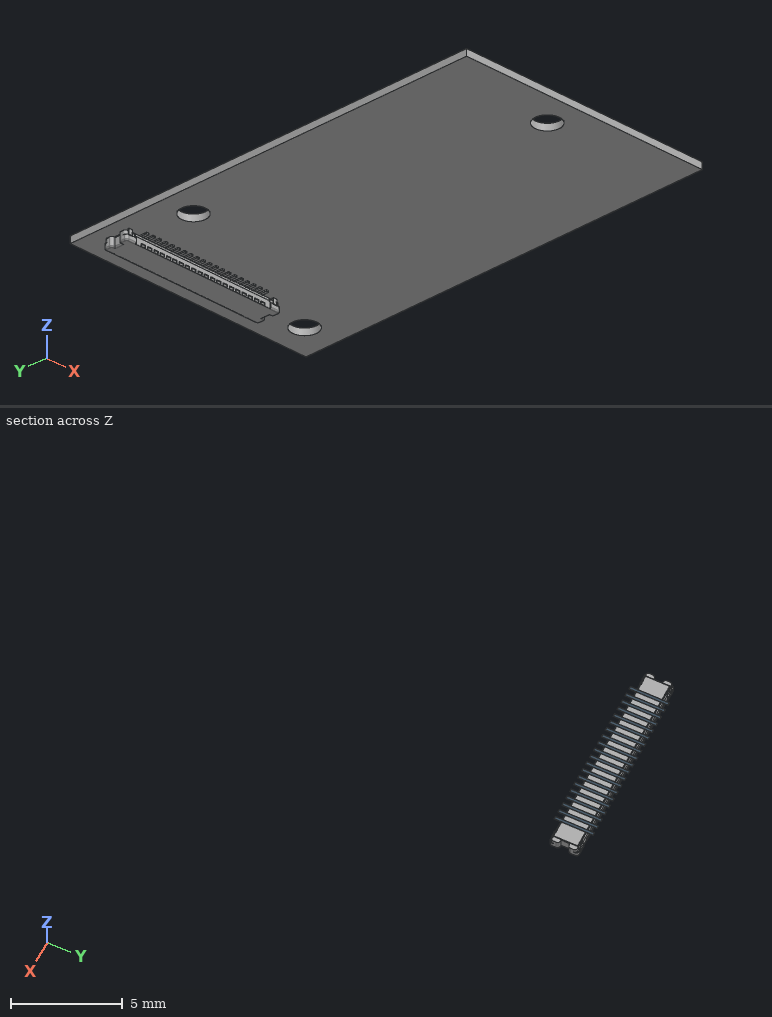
import cadquery as cq

BOARD_WIDTH = 15.0
BOARD_LENGTH = 25.0
TOTAL_HEIGHT = 1.05
BOARD_THICKNESS = 0.4
HOLE_DIAMETER = 1.5
HOLE_CENTERS = [(5.5, 10.6), (-5.6, 6.6), (-0.5, -10.65)]

CONNECTOR_X = -1.98
CONNECTOR_Y = 10.28
CONNECTOR_LENGTH = 9.8
CONNECTOR_HEIGHT = TOTAL_HEIGHT - BOARD_THICKNESS

HOLD_DOWN_LENGTH = 0.62
HOLD_DOWN_WIDTH = 1.45
HOLD_DOWN_HEIGHT = 0.3
HOLD_DOWN_BOTTOM_ROUND = 0.08
CORNER_ROUND = 0.15
END_NOTCH_WIDTH = 0.42
END_NOTCH_DEPTH = 0.2

END_TOP_WIDTH = 1.3
END_TOP_HEIGHT = 0.52
WALL_WIDTH = 1.35
WALL_HEIGHT = 0.4
WALL_LENGTH = CONNECTOR_LENGTH - 2 * HOLD_DOWN_LENGTH
CORE_WIDTH = 1.2
CORE_HEIGHT = 0.58
CORE_END_INSET = 0.22
CORE_LENGTH = CONNECTOR_LENGTH - 2 * CORE_END_INSET

CONTACTS_PER_ROW = 20
CONTACT_PITCH = 0.4
PAD_WIDTH = 0.25
PAD_HEIGHT = 0.15
PAD_SPAN = 1.42
PAD_ROUND = 0.1
TAIL_WIDTH = 0.15
TAIL_THICKNESS = 0.08
TAIL_SPAN = 1.95

FOOT_WIDTH = 0.22
FOOT_THICKNESS = 0.08
FOOT_SPAN = 1.35
FOOT_INSET = 0.2


def centered_block(length, width, bottom, top, x=0.0):
    """Block centred on the connector's long axis at the given X."""
    block = cq.Workplane("XY").box(length, width, top - bottom, centered=(True, True, False))
    return block.translate((x, 0, bottom))


def make_board():
    """Flat rectangular board with its mounting holes."""
    return (
        cq.Workplane("XY")
        .box(BOARD_WIDTH, BOARD_LENGTH, BOARD_THICKNESS, centered=(True, True, False))
        .faces(">Z")
        .workplane(origin=(0, 0, 0))
        .pushPoints(HOLE_CENTERS)
        .hole(HOLE_DIAMETER)
        .translate((0, 0, CONNECTOR_HEIGHT))
    )


def rounded_end_block(width, bottom, top):
    """Block at the -X end, notched in the middle, with rounded upright corners on both lobes."""
    outer_x = -CONNECTOR_LENGTH / 2
    block = centered_block(HOLD_DOWN_LENGTH, width, bottom, top, outer_x + HOLD_DOWN_LENGTH / 2)
    notch = centered_block(2 * END_NOTCH_DEPTH, END_NOTCH_WIDTH, bottom, top, outer_x)
    return block.cut(notch).edges("|Z and <X").fillet(CORNER_ROUND)


def make_left_end():
    """Hold-down, narrower end top and a solder foot on each side at the -X end."""
    hold_down = rounded_end_block(HOLD_DOWN_WIDTH, 0, HOLD_DOWN_HEIGHT)
    hold_down = hold_down.faces("<Z").edges("not >X").fillet(HOLD_DOWN_BOTTOM_ROUND)
    end_top = rounded_end_block(END_TOP_WIDTH, HOLD_DOWN_HEIGHT, END_TOP_HEIGHT)
    foot_x = -CONNECTOR_LENGTH / 2 + FOOT_INSET + FOOT_WIDTH / 2
    feet = centered_block(FOOT_WIDTH, FOOT_SPAN, HOLD_DOWN_HEIGHT, CONNECTOR_HEIGHT, foot_x)
    feet_gap = FOOT_SPAN - 2 * FOOT_THICKNESS
    feet = feet.cut(centered_block(FOOT_WIDTH, feet_gap, HOLD_DOWN_HEIGHT, CONNECTOR_HEIGHT, foot_x))
    return hold_down.union(end_top).union(feet)


def make_contact(x):
    """Pair of opposite contacts: rounded pads at the bottom, tails against the board."""
    pads = centered_block(PAD_WIDTH, PAD_SPAN, 0, PAD_HEIGHT, x)
    pads = pads.faces("<Z").edges("|X").fillet(PAD_ROUND)
    tails = centered_block(TAIL_WIDTH, TAIL_SPAN, CONNECTOR_HEIGHT - TAIL_THICKNESS, CONNECTOR_HEIGHT, x)
    return pads.union(tails)


def make_connector():
    """Housing, both ends and all contacts as one solid."""
    core = centered_block(CORE_LENGTH, CORE_WIDTH, WALL_HEIGHT, CORE_HEIGHT)
    walls = centered_block(WALL_LENGTH, WALL_WIDTH, 0, WALL_HEIGHT)
    left_end = make_left_end()
    right_end = left_end.mirror("YZ")
    connector = core.union(walls).union(left_end).union(right_end)
    for index in range(CONTACTS_PER_ROW):
        x = (index - (CONTACTS_PER_ROW - 1) / 2) * CONTACT_PITCH
        connector = connector.union(make_contact(x))
    return connector.translate((CONNECTOR_X, CONNECTOR_Y, 0))


board = make_board()
connector = make_connector()

result = cq.Compound.makeCompound([board.val(), connector.val()])